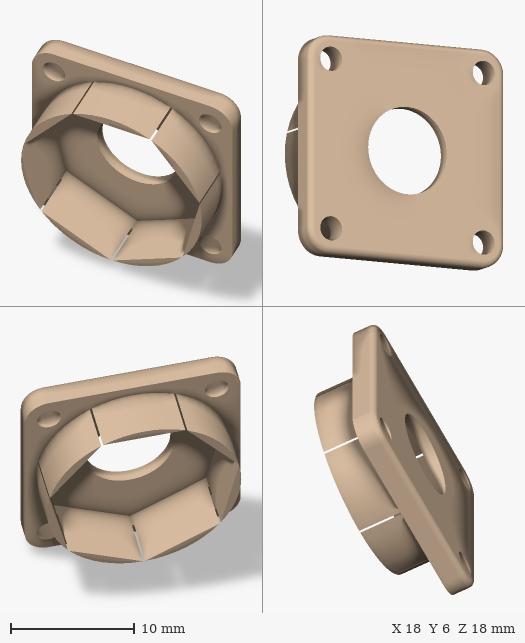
import cadquery as cq
import math

flange_side = 18.0
flange_thickness = 2.0
corner_radius = 2.0
back_edge_radius = 0.5
bore_diameter = 7.2

mount_hole_diameter = 2.0
mount_hole_spacing = flange_side - 2 * corner_radius

collar_diameter = 16.2
collar_height = 4.0
socket_sides = 7
corner_gap = 0.18
socket_recess = flange_thickness / 2

half_side_angle = math.pi / socket_sides
gap_half_angle = math.asin(corner_gap / collar_diameter)
socket_apothem = collar_diameter / 2 * math.cos(half_side_angle - gap_half_angle)
socket_radius = socket_apothem / math.cos(half_side_angle)


def make_flange():
    """Rounded square plate, from Y = 0 back to +Y, with a rounded rear edge."""
    plate = (
        cq.Workplane("XZ")
        .rect(flange_side, flange_side)
        .extrude(-flange_thickness)
        .edges("|Y")
        .fillet(corner_radius)
    )
    return plate.faces(">Y").edges().fillet(back_edge_radius)


def make_collar():
    """Round collar standing on the flange toward -Y."""
    return cq.Workplane("XZ").circle(collar_diameter / 2).extrude(collar_height)


def make_socket():
    """Seven-sided cutter through the collar and part way into the flange, one corner toward -Z."""
    corners = []
    for i in range(socket_sides):
        angle = -math.pi / 2 + 2 * i * half_side_angle
        corners.append((socket_radius * math.cos(angle), socket_radius * math.sin(angle)))
    return (
        cq.Workplane("XZ", origin=(0, socket_recess, 0))
        .polyline(corners)
        .close()
        .extrude(socket_recess + collar_height)
    )


def make_holes():
    """Central bore and the four mounting holes, through the flange."""
    bore = cq.Workplane("XZ").circle(bore_diameter / 2).extrude(-flange_thickness)
    mounts = (
        cq.Workplane("XZ")
        .rect(mount_hole_spacing, mount_hole_spacing, forConstruction=True)
        .vertices()
        .circle(mount_hole_diameter / 2)
        .extrude(-flange_thickness)
    )
    return bore.union(mounts)


result = make_flange().union(make_collar()).cut(make_socket()).cut(make_holes())